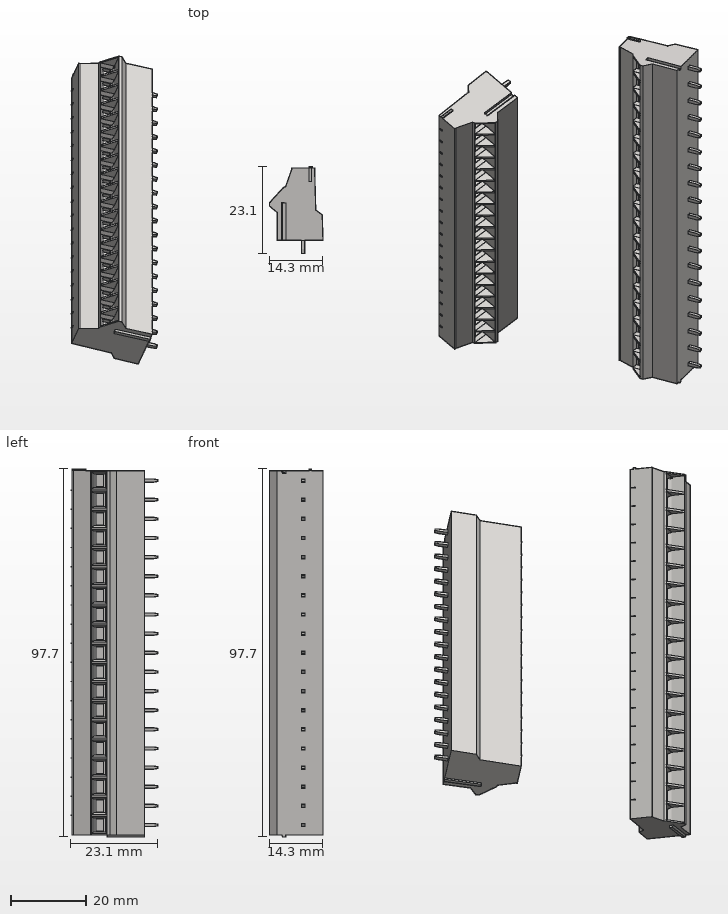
import cadquery as cq

pole_count = 19
pitch = 5.08
end_margin = 0.12
body_length = pole_count * pitch + 2 * end_margin
pole_centres = [end_margin + (i + 0.5) * pitch for i in range(pole_count)]
pole_boundaries = [end_margin + i * pitch for i in range(1, pole_count)]

overall_width = 14.25
nose_x = -8.93
foot_back_x = nose_x + overall_width
front_wall_x = -6.88
front_wall_top_y = 7.4
shoulder_low_x = foot_back_x - 0.2
shoulder_low_y = 6.8
shoulder_high_x = 3.4
shoulder_high_y = 8.1
top_front_x = -3.04
top_back_x = 3.1
body_height = 19.3
top_bevel_y = 18.9
top_bevel_low_x = -4.65
top_bevel_low_y = 14.3
nose_low_y = 9.15
nose_high_y = 10.0
nose_bevel = 0.2
entry_top_x = -5.2
entry_top_y = 14.1

funnel_mouth_x = entry_top_x - 0.1
funnel_floor_x = -4.2
clamp_floor_x = -3.2
mouth_y, mouth_z = (10.05, 14.05), 4.5
floor_y, floor_z = (10.4, 13.5), 3.6
clamp_y, clamp_z = (10.85, 12.9), 3.2

pin_width = 0.9
pin_thickness = 0.9
pin_length = 3.5
pin_taper_length = 1.1
pin_tip_thickness = 0.5
pin_embed = 1.0

tongue_height = 0.55
groove_depth = 0.8
tongue_length = 9.95
tongue_front_x = -5.7
tongue_back_x = -4.55
tongue_draft = 0.3

rib_front_x = 1.62
rib_width = 0.62
rib_length = 3.7
overall_length = 97.68
rib_height = overall_length - body_length - tongue_height
nub_width = 0.94
overall_depth = 23.1
nub_height = overall_depth - pin_length - body_height
nub_thickness = 0.1


def make_housing():
    outline = [
        (front_wall_x, 0),
        (foot_back_x, 0),
        (shoulder_low_x, shoulder_low_y),
        (shoulder_high_x, shoulder_high_y),
        (top_back_x, body_height),
        (top_front_x, body_height),
        (top_front_x, top_bevel_y),
        (top_bevel_low_x, top_bevel_low_y),
        (entry_top_x, entry_top_y),
        (nose_x, nose_high_y),
        (nose_x, nose_low_y),
        (nose_x + nose_bevel, nose_low_y - nose_bevel),
        (front_wall_x, front_wall_top_y),
    ]
    return cq.Workplane("XY").polyline(outline).close().extrude(body_length)


def box_between(x_range, y_range, z_range):
    size = [high - low for low, high in (x_range, y_range, z_range)]
    corner = (x_range[0], y_range[0], z_range[0])
    return cq.Workplane("XY").box(*size, centered=False).translate(corner)


def make_window(z):
    mouth_mid = sum(mouth_y) / 2
    floor_mid = sum(floor_y) / 2
    mouth_z_range = (z - mouth_z / 2, z + mouth_z / 2)
    pocket = box_between((nose_x, funnel_mouth_x), mouth_y, mouth_z_range)
    funnel = (
        cq.Workplane("YZ", origin=(funnel_mouth_x, mouth_mid, z))
        .rect(mouth_y[1] - mouth_y[0], mouth_z)
        .workplane(offset=funnel_floor_x - funnel_mouth_x)
        .center(floor_mid - mouth_mid, 0)
        .rect(floor_y[1] - floor_y[0], floor_z)
        .loft(ruled=True)
    )
    clamp_z_range = (z - clamp_z / 2, z + clamp_z / 2)
    clamp = box_between((funnel_floor_x, clamp_floor_x), clamp_y, clamp_z_range)
    return pocket.union(funnel).union(clamp)


def make_pin(z):
    half = pin_thickness / 2
    half_tip = pin_tip_thickness / 2
    taper_y = pin_taper_length - pin_length
    outline = [
        (pin_embed, -half),
        (taper_y, -half),
        (-pin_length, -half_tip),
        (-pin_length, half_tip),
        (taper_y, half),
        (pin_embed, half),
    ]
    pin = cq.Workplane("YZ", origin=(0, 0, z)).polyline(outline).close()
    return pin.extrude(pin_width / 2, both=True)


def make_tongue(z, height):
    """Tongue hanging below level z, its front flank drafted."""
    outline = [
        (tongue_front_x, z),
        (tongue_back_x, z),
        (tongue_back_x, z - height),
        (tongue_front_x + tongue_draft, z - height),
    ]
    return cq.Workplane("XZ").polyline(outline).close().extrude(-tongue_length)


def make_end_rib():
    return box_between(
        (rib_front_x, rib_front_x + rib_width),
        (body_height - rib_length, body_height),
        (body_length, body_length + rib_height),
    )


def make_nub(z):
    return box_between(
        (rib_front_x, rib_front_x + nub_width),
        (body_height, body_height + nub_height),
        (z - nub_thickness / 2, z + nub_thickness / 2),
    )


result = make_housing().cut(make_tongue(body_length, groove_depth))
result = result.union(make_tongue(0, tongue_height)).union(make_end_rib())
for centre in pole_centres:
    result = result.cut(make_window(centre)).union(make_pin(centre))
for boundary in pole_boundaries:
    result = result.union(make_nub(boundary))